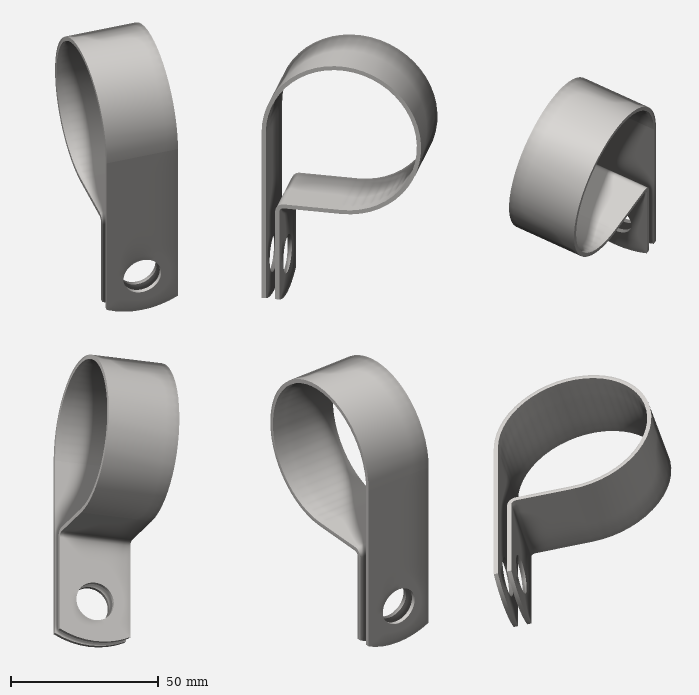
import cadquery as cq
import math

total_height = 92.8
loop_diameter = 55.4
strip_width = 25.4
thickness = 1.5
leg_gap = 3.25
bend_radius = 3.0
hole_diameter = 13.5
hole_height = 14.3
tip_radius = 28.6

outer_radius = loop_diameter / 2
inner_radius = outer_radius - thickness
inner_bend_radius = bend_radius - thickness
bottom = outer_radius - total_height
short_leg_outside = inner_radius - leg_gap
short_leg_inside = short_leg_outside - thickness
bend_x = short_leg_outside - bend_radius
bend_z = -inner_radius - bend_radius
half_width = strip_width / 2
tip_rise = tip_radius - math.sqrt(tip_radius**2 - half_width**2)


def clamp_strip():
    """Bent strip: long leg, three-quarter loop, flat shelf and short leg."""
    diagonal = math.sqrt(0.5)
    bend_mid_outer = (bend_x + bend_radius * diagonal, bend_z + bend_radius * diagonal)
    bend_mid_inner = (bend_x + inner_bend_radius * diagonal, bend_z + inner_bend_radius * diagonal)
    upper_left = (-diagonal, diagonal)
    profile = (
        cq.Workplane("XZ")
        .moveTo(outer_radius, bottom)
        .lineTo(outer_radius, 0)
        .threePointArc([outer_radius * c for c in upper_left], (0, -outer_radius))
        .lineTo(bend_x, -outer_radius)
        .threePointArc(bend_mid_inner, (short_leg_inside, bend_z))
        .lineTo(short_leg_inside, bottom)
        .lineTo(short_leg_outside, bottom)
        .lineTo(short_leg_outside, bend_z)
        .threePointArc(bend_mid_outer, (bend_x, -inner_radius))
        .lineTo(0, -inner_radius)
        .threePointArc([inner_radius * c for c in upper_left], (inner_radius, 0))
        .lineTo(inner_radius, bottom)
        .close()
    )
    return profile.extrude(half_width, both=True)


def rounded_envelope():
    """Block around the strip whose lower end is arched like the leg tips."""
    shoulder = bottom + tip_rise
    outline = (
        cq.Workplane("YZ")
        .moveTo(-half_width, outer_radius)
        .lineTo(-half_width, shoulder)
        .threePointArc((0, bottom), (half_width, shoulder))
        .lineTo(half_width, outer_radius)
        .close()
    )
    return outline.extrude(outer_radius, both=True)


def bolt_hole():
    """Cylinder along X that passes through both legs."""
    return (
        cq.Workplane("YZ")
        .center(0, bottom + hole_height)
        .circle(hole_diameter / 2)
        .extrude(outer_radius)
    )


result = clamp_strip().intersect(rounded_envelope()).cut(bolt_hole())